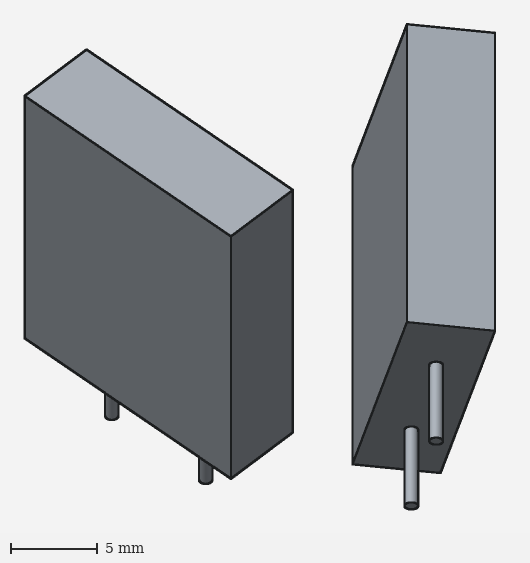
import cadquery as cq

total_height = 25.1
body_width = 16.5
body_depth = 5.2
body_height = 20.0

pin_diameter = 0.8
pin_pitch = 7.5
pin_length = total_height - body_height


def make_body():
    """Plain rectangular block with its underside on Z = 0."""
    return cq.Workplane("XY").box(body_width, body_depth, body_height, centered=(True, True, False))


def make_pin(x):
    """Round lead that hangs from the underside of the body at the given X."""
    return cq.Workplane("XY").center(x, 0).circle(pin_diameter / 2).extrude(-pin_length)


body = make_body()
pins = [make_pin(side * pin_pitch / 2) for side in (-1, 1)]

result = cq.Compound.makeCompound([body.val(), *[pin.val() for pin in pins]])